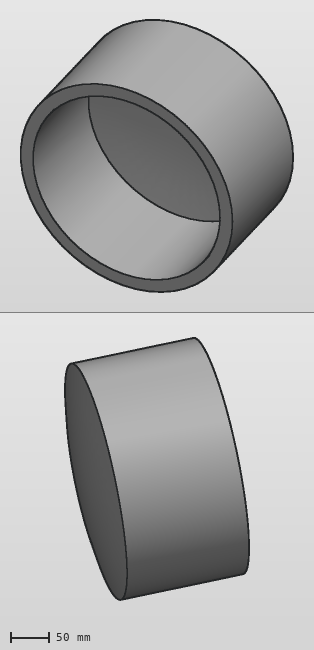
import cadquery as cq
import math

outer_radius = 157.5
wall = 18.5
total_length = 183.5
dome_rise = 19.0

inner_radius = outer_radius - wall
skirt_length = total_length - dome_rise
cavity_depth = total_length - wall

dome_radius = (outer_radius**2 + dome_rise**2) / (2 * dome_rise)
dome_center = total_length - dome_radius
cavity_dome_radius = dome_radius - wall


def dome_point(sphere_radius, distance):
    """Section point on a dome sphere at a given distance from the cap axis."""
    return (distance, dome_center + math.sqrt(sphere_radius**2 - distance**2))


section = (
    cq.Workplane("XY")
    .moveTo(inner_radius, 0)
    .lineTo(outer_radius, 0)
    .lineTo(outer_radius, skirt_length)
    .threePointArc(dome_point(dome_radius, outer_radius / 2), (0, total_length))
    .lineTo(0, cavity_depth)
    .threePointArc(
        dome_point(cavity_dome_radius, inner_radius / 2),
        dome_point(cavity_dome_radius, inner_radius),
    )
    .close()
)

result = section.revolve(360, (0, 0, 0), (0, 1, 0))